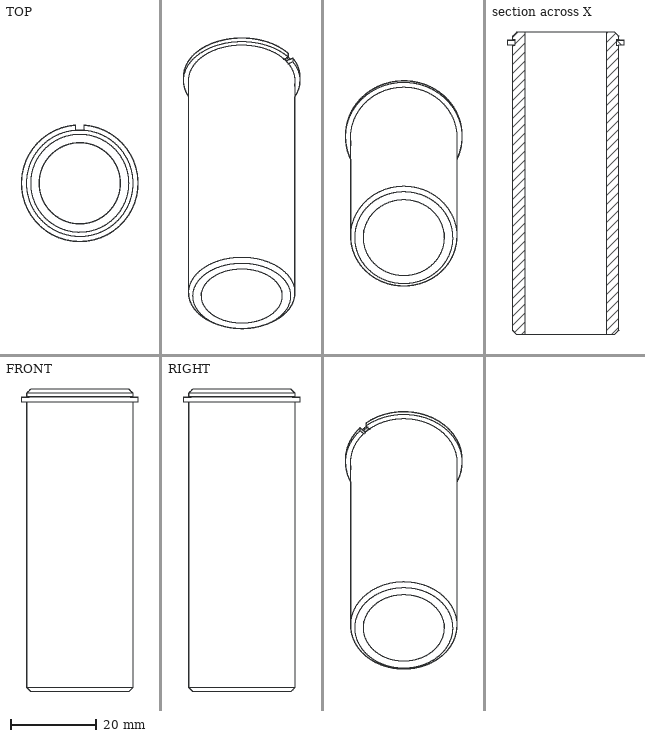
import cadquery as cq

bushing_length = 71.0
bushing_diameter = 25.0
bore_diameter = 19.0
end_chamfer = 1.0

ring_diameter = 27.4
ring_thickness = 1.2
ring_gap = 1.9

groove_diameter = 23.9
groove_width = 1.3
groove_bottom = bushing_length - 3.1


def annulus(outer_diameter, inner_diameter, bottom, height):
    """Flat ring around the Z axis, rising from the given bottom height."""
    return (
        cq.Workplane("XY", origin=(0, 0, bottom))
        .circle(outer_diameter / 2)
        .circle(inner_diameter / 2)
        .extrude(height)
    )


def make_bushing():
    """Tube with bevelled ends and a groove for the retaining ring."""
    outside = (
        cq.Workplane("XY")
        .circle(bushing_diameter / 2)
        .extrude(bushing_length)
        .faces("<Z or >Z")
        .chamfer(end_chamfer)
    )
    bore = cq.Workplane("XY").circle(bore_diameter / 2).extrude(bushing_length)
    groove = annulus(ring_diameter, groove_diameter, groove_bottom, groove_width)
    return outside.cut(bore).cut(groove)


def make_retaining_ring():
    """Open ring seated on the groove floor, thinner than the groove is wide."""
    ring = annulus(ring_diameter, groove_diameter, groove_bottom, ring_thickness)
    gap = cq.Workplane("XY").box(
        ring_gap, ring_diameter, ring_thickness, centered=(True, False, False)
    )
    return ring.cut(gap.translate((0, 0, groove_bottom)))


bushing = make_bushing()
retaining_ring = make_retaining_ring()

result = cq.Compound.makeCompound([bushing.val(), retaining_ring.val()])